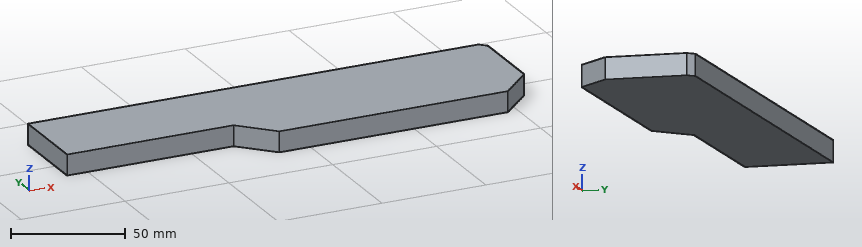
import cadquery as cq

length = 220.0
width = 55.0
thickness = 10.0

step = 15.0
narrow_length = 80.0
corner_chamfer = 3.0

narrow_edge_y = step

outline = [
    (0, narrow_edge_y),
    (narrow_length, narrow_edge_y),
    (narrow_length + step, 0),
    (length - step, 0),
    (length, step),
    (length, width - corner_chamfer),
    (length - corner_chamfer, width),
    (0, width),
]

result = cq.Workplane("XY").polyline(outline).close().extrude(thickness)